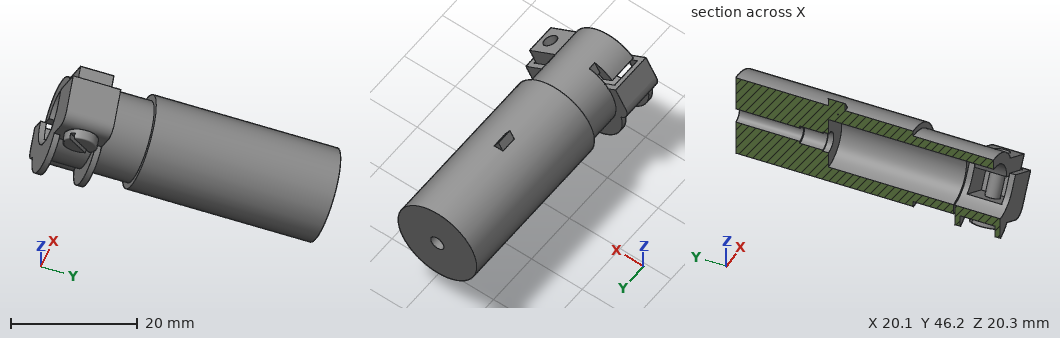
import cadquery as cq
import math

CLAMP_TILT = 30.0

TOTAL_LENGTH = 46.2
BODY_DIAMETER = 15.5
BODY_LENGTH = 31.0
NECK_DIAMETER = 13.5
NECK_FRONT = 1.2
BORE_DIAMETER = 9.6
BORE_END = 30.0
BODY_FRONT = TOTAL_LENGTH - BODY_LENGTH
NECK_RADIUS = NECK_DIAMETER / 2
BORE_RADIUS = BORE_DIAMETER / 2

FLOOR_STEPS = [(3.8, 1.0), (3.4, 4.0)]
THROUGH_DIAMETER = 2.6

MARKER_FRONT = 27.1
MARKER_LENGTH = 3.0
MARKER_TIP = 9.2
MARKER_HALF_ANGLE = 30.0

SLOT_FRONT = 6.8
SLOT_BACK = 8.2
SLOT_LAND_HALF_WIDTH = 4.6
SLOT_UNDERSIDE = 2.8
NECK_EDGE_UP = 1.5

LUG_END = 10.0
LUG_TOP = 5.3
LUG_UNDERSIDE = 2.2

CLAMP_LENGTH = 8.0
CHEEK_THICKNESS = 1.0
JAW_LEFT = -8.0
JAW_RIGHT = 11.26
JAW_TOP_LEFT = 0.8
JAW_TOP_RIGHT = 2.8
JAW_BOTTOM = -5.2
JAW_CORNER_RADIUS = 2.0
CHEEK_DISC_RADIUS = 6.0
CHEEK_DISC_UP = -3.66
POCKET_LEFT = -6.9
POCKET_RIGHT = 10.24
POCKET_FLOOR = -2.3

SCREW_ACROSS = 7.7
SCREW_LENGTHWISE = CLAMP_LENGTH / 2
SCREW_DIAMETER = 2.5
SCREW_TIP_UP = 3.5
HEAD_DIAMETER = 5.5
HEAD_HEIGHT = 1.7
HEAD_EDGE_RADIUS = 0.2
DRIVER_SLOT_WIDTH = 0.8
DRIVER_SLOT_DEPTH = 0.9
DRIVER_SLOT_ANGLE = 45.0

CLEAR = 20.0


def cylinder(diameter, front, back, up=0.0):
    """Cylinder along Y between two lengthwise positions."""
    plane = cq.Workplane("XZ", origin=(0, front, up))
    return plane.circle(diameter / 2).extrude(front - back)


def block(left, right, front, back, bottom, top):
    """Box given by its limits along X, Y and Z."""
    size = (right - left, back - front, top - bottom)
    return cq.Workplane("XY").box(*size, centered=False).translate((left, front, bottom))


def tilt(shape):
    """Turn a shape from the clamp frame into the part frame."""
    return shape.rotate((0, 0, 0), (0, 1, 0), CLAMP_TILT)


def make_marker():
    root = NECK_RADIUS
    half_width = (MARKER_TIP - root) * math.tan(math.radians(MARKER_HALF_ANGLE))
    outline = [(-half_width, root), (half_width, root), (0, MARKER_TIP)]
    plane = cq.Workplane("XZ", origin=(0, MARKER_FRONT, 0))
    return plane.polyline(outline).close().extrude(-MARKER_LENGTH)


def make_body():
    body = cylinder(BODY_DIAMETER, BODY_FRONT, TOTAL_LENGTH)
    return body.union(make_marker())


def make_neck():
    """Neck in the clamp frame, with its lug and the openings for the clamp."""
    neck = cylinder(NECK_DIAMETER, NECK_FRONT, BODY_FRONT)
    neck = neck.union(block(0, LUG_END, NECK_FRONT, SLOT_FRONT, LUG_UNDERSIDE, LUG_TOP))

    neck = neck.cut(block(-CLEAR, 0, 0, SLOT_BACK, -CLEAR, NECK_EDGE_UP))
    neck = neck.cut(block(0, CLEAR, 0, SLOT_BACK, -CLEAR, LUG_UNDERSIDE))

    neck = neck.cut(block(-CLEAR, CLEAR, SLOT_FRONT, SLOT_BACK, -CLEAR, SLOT_UNDERSIDE))
    for left, right in [(-CLEAR, -SLOT_LAND_HALF_WIDTH), (SLOT_LAND_HALF_WIDTH, CLEAR)]:
        neck = neck.cut(block(left, right, SLOT_FRONT, SLOT_BACK, -CLEAR, CLEAR))

    screw_hole = (
        cq.Workplane("XY", origin=(SCREW_ACROSS, SCREW_LENGTHWISE, LUG_UNDERSIDE))
        .circle(SCREW_DIAMETER / 2)
        .extrude(CLEAR)
    )
    return neck.cut(screw_hole)


def cut_tube_bore(tube):
    tube = tube.cut(cylinder(BORE_DIAMETER, 0, BORE_END))
    front = BORE_END
    for diameter, depth in FLOOR_STEPS:
        tube = tube.cut(cylinder(diameter, front, front + depth))
        front += depth
    return tube.cut(cylinder(THROUGH_DIAMETER, front, TOTAL_LENGTH))


def make_jaw():
    """Clamp jaw in the clamp frame."""
    jaw = block(JAW_LEFT, JAW_RIGHT, 0, CLAMP_LENGTH, JAW_BOTTOM, JAW_TOP_RIGHT)
    jaw = jaw.edges("|Y and <Z").fillet(JAW_CORNER_RADIUS)
    jaw = jaw.cut(block(JAW_LEFT, 0, 0, CLAMP_LENGTH, JAW_TOP_LEFT, JAW_TOP_RIGHT))

    jaw = jaw.union(cylinder(NECK_DIAMETER, CHEEK_THICKNESS, CLAMP_LENGTH - CHEEK_THICKNESS))
    for front in [0, CLAMP_LENGTH - CHEEK_THICKNESS]:
        back = front + CHEEK_THICKNESS
        jaw = jaw.union(cylinder(2 * CHEEK_DISC_RADIUS, front, back, CHEEK_DISC_UP))

    pocket_back = CLAMP_LENGTH - CHEEK_THICKNESS
    jaw = jaw.cut(
        block(POCKET_LEFT, POCKET_RIGHT, CHEEK_THICKNESS, pocket_back, POCKET_FLOOR, CLEAR)
    )

    jaw = jaw.cut(cylinder(BORE_DIAMETER, 0, CLAMP_LENGTH))
    return jaw.cut(block(-BORE_RADIUS, BORE_RADIUS, 0, CLAMP_LENGTH, 0, CLEAR))


def make_screw():
    """Screw in the clamp frame, its head seated under the jaw."""
    head_bottom = JAW_BOTTOM - HEAD_HEIGHT
    plane = cq.Workplane("XY", origin=(SCREW_ACROSS, SCREW_LENGTHWISE, head_bottom))
    head = plane.circle(HEAD_DIAMETER / 2).extrude(HEAD_HEIGHT)
    head = head.edges().fillet(HEAD_EDGE_RADIUS)
    driver_slot = (
        plane.transformed(rotate=(0, 0, -DRIVER_SLOT_ANGLE))
        .rect(2 * HEAD_DIAMETER, DRIVER_SLOT_WIDTH)
        .extrude(DRIVER_SLOT_DEPTH)
    )
    shank_bottom = head_bottom + DRIVER_SLOT_DEPTH
    shank = (
        cq.Workplane("XY", origin=(SCREW_ACROSS, SCREW_LENGTHWISE, shank_bottom))
        .circle(SCREW_DIAMETER / 2)
        .extrude(SCREW_TIP_UP - shank_bottom)
    )
    return head.cut(driver_slot).union(shank)


tube = cut_tube_bore(make_body().union(tilt(make_neck())))
clamp = make_jaw().union(make_screw())
result = tube.union(tilt(clamp))